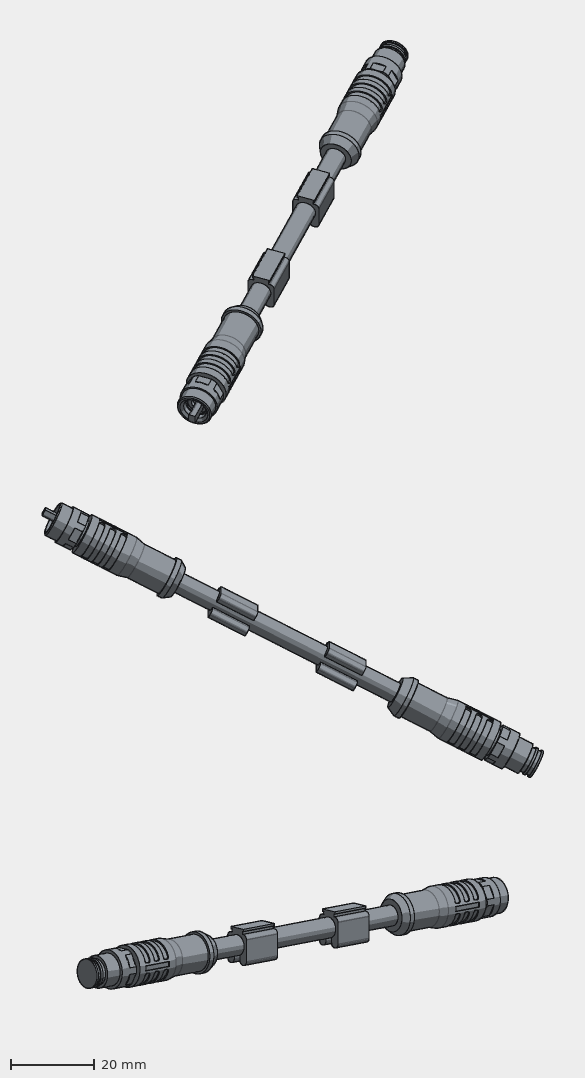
import cadquery as cq
import math

OVERALL_LENGTH = 134.35
PLUS_END = OVERALL_LENGTH / 2
MINUS_END = -OVERALL_LENGTH / 2

CABLE_DIA = 5.1

GRIP_DIA = 10.3
GROOVE_DIA = 9.6
SLEEVE_DIA = 9.1
SLEEVE_END_DIA = 8.0
COLLAR_WIDTH = 1.3
NUT_DIA = 9.6
NUT_ACROSS_FLATS = 9.0
NECK_DIA = 6.9
GROOVE_COUNT = 3
GROOVE_WIDTH = 1.6
GROOVE_PITCH = 2.95
GROOVE_END_GAP = 1.25
GROOVE_END_RADIUS = 0.6
FLAT_SLOT_WIDTH = 1.2

A_TIP_STEP = 64.1
A_NUT_FRONT = 60.1
A_FLATS_START = 57.6
A_NUT_BACK = 55.55
A_GRIP_FRONT = 54.75
A_GROOVES_FRONT = 52.8
A_GRIP_BACK = 43.1
A_SLEEVE_FRONT = 40.5
A_COLLAR_FRONT = 32.3
A_SLEEVE_BACK = 28.8
A_TIP_DIA = 8.0
A_SPIGOT_DIA = 7.2
A_SPIGOT_NECK_DIA = 6.5
A_LIP_WIDTH = 0.5
A_RING_FRONT = 65.8
A_RING_WIDTH = 0.6

B_FACE = -64.5
B_NUT_FRONT = -61.3
B_FLATS_START = -59.3
B_NUT_BACK = -57.1
B_GRIP_FRONT = -56.4
B_GROOVES_FRONT = -54.3
B_GRIP_BACK = -44.3
B_SLEEVE_FRONT = -41.9
B_COLLAR_FRONT = -33.4
B_SLEEVE_BACK = -30.4
B_TIP_DIA = 8.8
B_TIP_CHAMFER = 0.3
B_LEAD_IN_DIA = 7.2
B_BORE_DIA = 5.8
B_LEAD_IN_DEPTH = 0.7
B_BORE_DEPTH = 2.5
B_RECESS_DIA = 3.2
B_RECESS_DEPTH = 3.5
B_INSERT_DIA = 5.1
B_INSERT_DEPTH = 2.0
BLADE_X_RANGE = (-0.35, 1.4)
BLADE_HEIGHT = 2.2
BLADE_CORNER_RADIUS = 0.45

CLIP_LENGTH = 10.0
CLIP_CENTERS = (14.0, -15.4)
CLIP_WIDTH = 6.8
CLIP_BOTTOM = -4.7
CLIP_SHOULDER = 2.9
CLIP_SHOULDER_RADIUS = 1.1
CLIP_FOOT_RADIUS = 1.15
CLIP_LEG_WIDTH = 2.4
LABEL_WIDTH = 4.5
LABEL_THICKNESS = 0.6
LABEL_NECK_WIDTH = 3.8
LABEL_TOP = 4.2


def turned(profile):
    """Solid of revolution about Y from (y, diameter) corners."""
    points = [(diameter / 2, y) for y, diameter in profile]
    outline = [(0, profile[0][0])] + points + [(0, profile[-1][0])]
    return cq.Workplane("XY").polyline(outline).close().revolve(360, (0, 0, 0), (0, 1, 0))


def disc(diameter, y_start, y_end):
    return turned([(y_start, diameter), (y_end, diameter)])


def box_between(x_range, y_range, z_range):
    ranges = (x_range, y_range, z_range)
    sizes = [abs(high - low) for low, high in ranges]
    middle = tuple((low + high) / 2 for low, high in ranges)
    return cq.Workplane("XY").box(*sizes).translate(middle)


def grip_body(front, grip_back, sleeve_front, collar_front, sleeve_back, outward):
    """Thick grip, tapering to a sleeve that ends in a collar with a cone."""
    collar_back = collar_front - outward * COLLAR_WIDTH
    return turned([
        (front, GRIP_DIA),
        (grip_back, GRIP_DIA),
        (sleeve_front, SLEEVE_DIA),
        (collar_front, SLEEVE_DIA),
        (collar_front, GRIP_DIA),
        (collar_back, GRIP_DIA),
        (sleeve_back, SLEEVE_END_DIA),
    ])


def half_groove(start, end, side):
    """Ring groove over the upper (side 1) or lower (side -1) half, with rounded ends."""
    ring = disc(2 * GRIP_DIA, start, end).cut(disc(GROOVE_DIA, start, end))
    window = box_between(
        (-GRIP_DIA, GRIP_DIA),
        (start, end),
        (side * GROOVE_END_GAP, side * 2 * GRIP_DIA),
    )
    rounded = window.edges("|X").fillet(GROOVE_END_RADIUS)
    return ring.intersect(rounded)


def cut_grip(grip, grooves_front, outward):
    """Cut the ring grooves and the flat slot along each X side between their ends."""
    for index in range(GROOVE_COUNT):
        start = grooves_front - outward * index * GROOVE_PITCH
        end = start - outward * GROOVE_WIDTH
        for side in (1, -1):
            grip = grip.cut(half_groove(start, end, side))
    slot_length = (GROOVE_COUNT - 1) * GROOVE_PITCH + GROOVE_WIDTH
    slot_end = grooves_front - outward * slot_length
    half_slot = FLAT_SLOT_WIDTH / 2
    for side in (1, -1):
        slot = box_between(
            (side * GROOVE_DIA / 2, side * GRIP_DIA),
            (grooves_front, slot_end),
            (-half_slot, half_slot),
        )
        grip = grip.cut(slot)
    return grip


def nut(front, flats_start, back):
    """Round nut with six flats on its rear part, two of them facing +Z and -Z."""
    blank = disc(NUT_DIA, front, back)
    corners = NUT_ACROSS_FLATS / math.cos(math.pi / 6)
    hexagon = cq.Workplane("XZ", origin=(0, max(flats_start, back), 0)).polygon(6, corners)
    hexagon = hexagon.extrude(abs(flats_start - back))
    return blank.cut(disc(2 * NUT_DIA, flats_start, back).cut(hexagon))


def plus_connector():
    ring_back = A_RING_FRONT - A_RING_WIDTH
    lip_back = PLUS_END - A_LIP_WIDTH
    spigot = turned([
        (PLUS_END, A_SPIGOT_DIA),
        (lip_back, A_SPIGOT_DIA),
        (lip_back, A_SPIGOT_NECK_DIA),
        (A_RING_FRONT, A_SPIGOT_NECK_DIA),
        (A_RING_FRONT, A_SPIGOT_DIA),
        (ring_back, A_SPIGOT_DIA),
        (ring_back, A_SPIGOT_NECK_DIA),
        (A_TIP_STEP, A_SPIGOT_NECK_DIA),
        (A_TIP_STEP, A_TIP_DIA),
        (A_NUT_FRONT, A_TIP_DIA),
    ])
    grip = grip_body(A_GRIP_FRONT, A_GRIP_BACK, A_SLEEVE_FRONT, A_COLLAR_FRONT, A_SLEEVE_BACK, 1)
    grip = cut_grip(grip, A_GROOVES_FRONT, 1)
    neck = disc(NECK_DIA, A_NUT_FRONT, A_GRIP_BACK)
    return grip.union(neck).union(spigot).union(nut(A_NUT_FRONT, A_FLATS_START, A_NUT_BACK))


def minus_connector():
    tip = turned([
        (B_FACE, B_TIP_DIA - 2 * B_TIP_CHAMFER),
        (B_FACE + B_TIP_CHAMFER, B_TIP_DIA),
        (B_NUT_FRONT, B_TIP_DIA),
    ])
    grip = grip_body(B_GRIP_FRONT, B_GRIP_BACK, B_SLEEVE_FRONT, B_COLLAR_FRONT, B_SLEEVE_BACK, -1)
    grip = cut_grip(grip, B_GROOVES_FRONT, -1)
    neck = disc(NECK_DIA, B_NUT_FRONT, B_GRIP_BACK)
    body = grip.union(neck).union(tip).union(nut(B_NUT_FRONT, B_FLATS_START, B_NUT_BACK))
    recess_floor = B_FACE + B_RECESS_DEPTH
    bore = turned([
        (B_FACE, B_LEAD_IN_DIA),
        (B_FACE + B_LEAD_IN_DEPTH, B_BORE_DIA),
        (B_FACE + B_INSERT_DEPTH, B_BORE_DIA),
        (B_FACE + B_INSERT_DEPTH, B_INSERT_DIA),
        (B_FACE + B_BORE_DEPTH, B_INSERT_DIA),
        (B_FACE + B_BORE_DEPTH, B_RECESS_DIA),
        (recess_floor, B_RECESS_DIA),
    ])
    z_range = (-BLADE_HEIGHT / 2, BLADE_HEIGHT / 2)
    blade = box_between(BLADE_X_RANGE, (MINUS_END, recess_floor), z_range)
    blade = blade.edges("|Y and <X").fillet(BLADE_CORNER_RADIUS)
    return body.cut(bore).union(blade)


def clip(center):
    """Clip open at the bottom that hugs the cable and carries a label plate on top."""
    half = CLIP_WIDTH / 2
    y_range = (center - CLIP_LENGTH / 2, center + CLIP_LENGTH / 2)
    body = box_between((-half, half), y_range, (CLIP_BOTTOM, CLIP_SHOULDER))
    body = body.edges("|Y and >Z").fillet(CLIP_SHOULDER_RADIUS)
    opening = half - CLIP_LEG_WIDTH
    body = body.cut(box_between((-opening, opening), y_range, (CLIP_BOTTOM, 0)))
    body = body.edges("|Y and <Z").fillet(CLIP_FOOT_RADIUS)
    label_half = LABEL_WIDTH / 2
    neck_half = LABEL_NECK_WIDTH / 2
    label = box_between((-label_half, label_half), y_range, (LABEL_TOP - LABEL_THICKNESS, LABEL_TOP))
    neck = box_between((-neck_half, neck_half), y_range, (0, LABEL_TOP))
    return body.union(neck).union(label)


cable = disc(CABLE_DIA, A_SLEEVE_FRONT, B_SLEEVE_FRONT)
result = cable.union(plus_connector()).union(minus_connector())
for clip_center in CLIP_CENTERS:
    result = result.union(clip(clip_center))